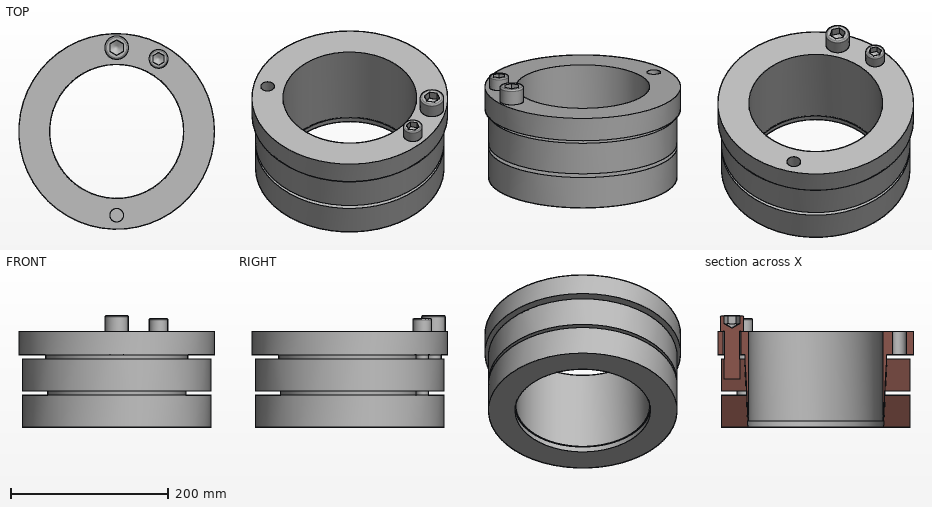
import cadquery as cq
import math

ring_diameter = 240
ring_height = 41
ring_gap = 5
flange_diameter = 249
flange_thickness = 30
bore_diameter = 170

middle_ring_z = ring_height + ring_gap
flange_z = middle_ring_z + ring_height + ring_gap
flange_top_z = flange_z + flange_thickness

sleeve_end_z = 8
sleeve_end_diameter = 173
diameter_taper = 0.1

bolt_circle_radius = 106.5
short_screw_angle = 90
long_screw_angle = 60
jacking_hole_angle = -90
jacking_hole_diameter = 17.29

short_screw_size = 20
short_screw_head_diameter = 30
short_screw_socket_width = 17
short_screw_length = 60
short_screw_clearance = 22

long_screw_size = 16
long_screw_head_diameter = 24
long_screw_socket_width = 14
long_screw_length = 100
long_screw_clearance = 18

socket_cone_angle = 120


def taper_radius(z):
    """Radius of the common tapered surface at height z."""
    return (sleeve_end_diameter + diameter_taper * (z - sleeve_end_z)) / 2


def cylinder(diameter, bottom_z, top_z):
    return cq.Workplane("XY").workplane(offset=bottom_z).circle(diameter / 2).extrude(top_z - bottom_z)


def taper_cone(bottom_z, top_z):
    """Solid cone frustum bounded by the common taper."""
    outline = [
        (0, bottom_z),
        (taper_radius(bottom_z), bottom_z),
        (taper_radius(top_z), top_z),
        (0, top_z),
    ]
    return cq.Workplane("XZ").polyline(outline).close().revolve(360, (0, 0, 0), (0, 1, 0))


def on_bolt_circle(body, angle):
    """Move a body from the Z axis to its place on the bolt circle."""
    x = bolt_circle_radius * math.cos(math.radians(angle))
    y = bolt_circle_radius * math.sin(math.radians(angle))
    return body.translate((x, y, 0))


def clamp_ring(bottom_z):
    """Plain ring with a tapered bore."""
    top_z = bottom_z + ring_height
    return cylinder(ring_diameter, bottom_z, top_z).cut(taper_cone(bottom_z, top_z))


def socket_screw(size, head_diameter, socket_width, length):
    """Socket head screw on the Z axis, its head seated on the flange."""
    head_top_z = flange_top_z + size
    head = cylinder(head_diameter, flange_top_z, head_top_z).faces(">Z").edges().fillet(size / 10)
    shank = cylinder(size, flange_top_z - length, flange_top_z)

    socket_depth = size / 2
    corner_radius = socket_width / math.sqrt(3)
    point_depth = corner_radius / math.tan(math.radians(socket_cone_angle / 2))
    point_z = head_top_z - socket_depth - point_depth
    hexagon = (
        cq.Workplane("XY")
        .workplane(offset=point_z)
        .transformed(rotate=(0, 0, 90))
        .polygon(6, 2 * corner_radius)
        .extrude(head_top_z - point_z)
    )
    drill_outline = [
        (0, point_z),
        (corner_radius, point_z + point_depth),
        (corner_radius, head_top_z),
        (0, head_top_z),
    ]
    drill = cq.Workplane("XZ").polyline(drill_outline).close().revolve(360, (0, 0, 0), (0, 1, 0))
    return head.union(shank).cut(hexagon.intersect(drill))


short_screw = on_bolt_circle(
    socket_screw(short_screw_size, short_screw_head_diameter, short_screw_socket_width, short_screw_length),
    short_screw_angle,
)
long_screw = on_bolt_circle(
    socket_screw(long_screw_size, long_screw_head_diameter, long_screw_socket_width, long_screw_length),
    long_screw_angle,
)

flanged_sleeve = cylinder(flange_diameter, flange_z, flange_top_z)
flanged_sleeve = flanged_sleeve.union(taper_cone(sleeve_end_z, flange_z))
flanged_sleeve = flanged_sleeve.cut(cylinder(bore_diameter, sleeve_end_z, flange_top_z))
flange_holes = [
    (short_screw_clearance, short_screw_angle),
    (long_screw_clearance, long_screw_angle),
    (jacking_hole_diameter, jacking_hole_angle),
]
for hole_diameter, hole_angle in flange_holes:
    hole = cylinder(hole_diameter, flange_z, flange_top_z)
    flanged_sleeve = flanged_sleeve.cut(on_bolt_circle(hole, hole_angle))

middle_ring = clamp_ring(middle_ring_z).cut(short_screw)
long_screw_passage = cylinder(long_screw_clearance, middle_ring_z, middle_ring_z + ring_height)
middle_ring = middle_ring.cut(on_bolt_circle(long_screw_passage, long_screw_angle))

bottom_ring = clamp_ring(0).cut(long_screw)

result = cq.Compound.makeCompound([
    flanged_sleeve.val(),
    middle_ring.val(),
    bottom_ring.val(),
    short_screw.val(),
    long_screw.val(),
])